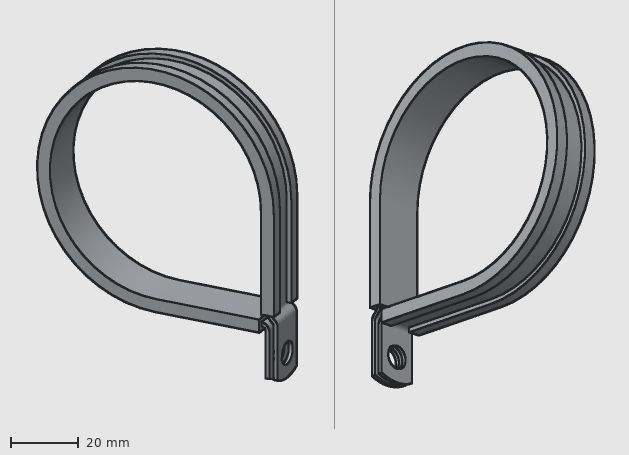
import cadquery as cq
import math

outer_radius = 39.1
cushion_thickness = 4.3
cushion_width = 15.7
groove_depth = 1.5
groove_width = 7.6
right_leg_end_z = -33.1
bottom_leg_end_x = 34.3

strap_thickness = 1.3
tab_width = 12.8
tab_bottom_z = -55.6
tab_end_sagitta = 1.4
outer_tab_face_x = 39.7
inner_tab_face_x = 36.9
hole_diameter = 7.2
hole_z = -47.6
jog_angle = math.radians(45)

strap_radius = outer_radius - groove_depth
strap_inner_radius = strap_radius - strap_thickness
bend_outer = inner_tab_face_x - bottom_leg_end_x
bend_inner = bend_outer - strap_thickness


def loop_band(inner, outer, width):
    """Three-quarter ring with straight legs running down at +X and right at -Z."""
    diagonal = math.sqrt(0.5)
    profile = (
        cq.Workplane("XZ")
        .moveTo(outer, right_leg_end_z)
        .lineTo(outer, 0)
        .threePointArc((-outer * diagonal, outer * diagonal), (0, -outer))
        .lineTo(bottom_leg_end_x, -outer)
        .lineTo(bottom_leg_end_x, -inner)
        .lineTo(0, -inner)
        .threePointArc((-inner * diagonal, inner * diagonal), (inner, 0))
        .lineTo(inner, right_leg_end_z)
        .close()
    )
    return profile.extrude(width / 2, both=True)


def jogged_tab():
    """Tab continuing the right leg outwards through two equal bends joined by a straight slope."""
    tab_x = outer_tab_face_x - strap_thickness
    upper_centre_x = strap_radius + bend_inner
    lower_centre_x = outer_tab_face_x - bend_outer
    bend_radius = (bend_inner + bend_outer) / 2
    bends_run = 2 * bend_radius * (1 - math.cos(jog_angle))
    slope_run = outer_tab_face_x - strap_radius - bends_run
    slope_drop = slope_run / math.tan(jog_angle)
    jog_end_z = right_leg_end_z - 2 * bend_radius * math.sin(jog_angle) - slope_drop

    def upper_point(radius, angle):
        return (upper_centre_x - radius * math.cos(angle), right_leg_end_z - radius * math.sin(angle))

    def lower_point(radius, angle):
        return (lower_centre_x + radius * math.cos(angle), jog_end_z + radius * math.sin(angle))

    half_angle = jog_angle / 2
    return (
        cq.Workplane("XZ")
        .moveTo(strap_radius, right_leg_end_z)
        .threePointArc(upper_point(bend_inner, half_angle), upper_point(bend_inner, jog_angle))
        .lineTo(*lower_point(bend_outer, jog_angle))
        .threePointArc(lower_point(bend_outer, half_angle), (outer_tab_face_x, jog_end_z))
        .lineTo(outer_tab_face_x, tab_bottom_z)
        .lineTo(tab_x, tab_bottom_z)
        .lineTo(tab_x, jog_end_z)
        .threePointArc(lower_point(bend_inner, half_angle), lower_point(bend_inner, jog_angle))
        .lineTo(*upper_point(bend_outer, jog_angle))
        .threePointArc(upper_point(bend_outer, half_angle), (strap_inner_radius, right_leg_end_z))
        .close()
        .extrude(tab_width / 2, both=True)
    )


def bent_tab():
    """Tab continuing the bottom leg through a quarter bend downwards."""
    tab_x = inner_tab_face_x - strap_thickness
    bend_centre_z = -strap_inner_radius - bend_outer

    def bend_middle(radius):
        reach = radius * math.sqrt(0.5)
        return (bottom_leg_end_x + reach, bend_centre_z + reach)

    return (
        cq.Workplane("XZ")
        .moveTo(bottom_leg_end_x, -strap_inner_radius)
        .threePointArc(bend_middle(bend_outer), (inner_tab_face_x, bend_centre_z))
        .lineTo(inner_tab_face_x, tab_bottom_z)
        .lineTo(tab_x, tab_bottom_z)
        .lineTo(tab_x, bend_centre_z)
        .threePointArc(bend_middle(bend_inner), (bottom_leg_end_x, -strap_radius))
        .close()
        .extrude(tab_width / 2, both=True)
    )


def tab_envelope():
    """Tab outline across Y, with a bowed lower end and the bolt hole."""
    half_width = tab_width / 2
    corner_z = tab_bottom_z + tab_end_sagitta
    envelope = (
        cq.Workplane("YZ")
        .moveTo(-half_width, right_leg_end_z)
        .lineTo(-half_width, corner_z)
        .threePointArc((0, tab_bottom_z), (half_width, corner_z))
        .lineTo(half_width, right_leg_end_z)
        .close()
        .extrude(outer_tab_face_x)
    )
    hole = (
        cq.Workplane("YZ")
        .center(0, hole_z)
        .circle(hole_diameter / 2)
        .extrude(outer_tab_face_x)
    )
    return envelope.cut(hole)


cushion = loop_band(outer_radius - cushion_thickness, outer_radius, cushion_width)
groove = loop_band(strap_radius, outer_radius, groove_width)
tabs = jogged_tab().union(bent_tab()).intersect(tab_envelope())

result = cushion.cut(groove).union(tabs)